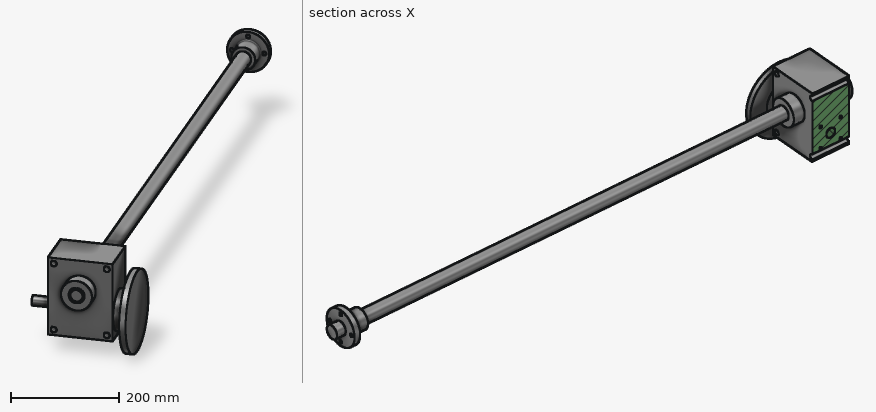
import cadquery as cq


HOUSING_WIDTH = 124.0
HOUSING_DEPTH = 89.0
HOUSING_TOP = 60.0
HOUSING_HEIGHT = 155.0
BOSS_DIAMETER = 60.0
BOSS_LENGTH = 26.0
CORNER_HOLE_DIAMETER = 11.0
CORNER_HOLE_INSET = 11.0
FACE_HOLE_DIAMETER = 5.0
FACE_HOLE_SPACING = 48.0
FACE_HOLE_DEPTH = 15.0

WORM_DROP = 50.0
WORM_DIAMETER = 20.0
WORM_PROTRUSION = 41.0
CENTER_HOLE_DIAMETER = 5.0
CENTER_HOLE_DEPTH = 12.0

HUB_DIAMETER = 80.0
HUB_LENGTH = 22.0
FLANGE_DIAMETER = 160.0
FLANGE_THICKNESS = 12.0

SCREW_DIAMETER = 30.0
SCREW_TIP_DIAMETER = 24.0
OVERALL_LENGTH = 1238.0

NUT_DIAMETER = 46.0
NUT_LENGTH = 47.0
NUT_FLANGE_DIAMETER = 80.0
NUT_FLANGE_THICKNESS = 14.0
NUT_END_GAP = 21.0
NUT_HOLE_COUNT = 4
NUT_HOLE_DIAMETER = 7.0
NUT_HOLE_CIRCLE = 62.0
NUT_FILLET = 2.0

HOUSING_LEFT = -HOUSING_WIDTH / 2
HOUSING_RIGHT = HOUSING_WIDTH / 2
HOUSING_CENTER_Z = HOUSING_TOP - HOUSING_HEIGHT / 2
BOSS_END = HOUSING_DEPTH / 2 + BOSS_LENGTH
SCREW_END = OVERALL_LENGTH - FLANGE_DIAMETER / 2
NUT_BACK = SCREW_END - NUT_END_GAP
NUT_FRONT = NUT_BACK - NUT_LENGTH
NUT_FLANGE_FACE = NUT_BACK - NUT_FLANGE_THICKNESS


def rod_y(diameter, y_start, y_end):
    """Cylinder on the screw axis."""
    plane = cq.Workplane("XZ", origin=(0, y_start, 0))
    return plane.circle(diameter / 2).extrude(y_start - y_end)


def rod_x(diameter, x_start, x_end):
    """Cylinder on the worm axis."""
    plane = cq.Workplane("YZ", origin=(x_start, 0, -WORM_DROP))
    return plane.circle(diameter / 2).extrude(x_end - x_start)


def make_housing():
    """Gear case with a boss on the front and rear face and bores for both shafts."""
    block = cq.Workplane("XY").box(HOUSING_WIDTH, HOUSING_DEPTH, HOUSING_HEIGHT)
    block = block.translate((0, 0, HOUSING_CENTER_Z))
    body = block.union(rod_y(BOSS_DIAMETER, -BOSS_END, BOSS_END))

    hole_spacing_x = HOUSING_WIDTH - 2 * CORNER_HOLE_INSET
    hole_spacing_z = HOUSING_HEIGHT - 2 * CORNER_HOLE_INSET
    corner_holes = (
        cq.Workplane("XZ", origin=(0, HOUSING_DEPTH / 2, HOUSING_CENTER_Z))
        .rect(hole_spacing_x, hole_spacing_z, forConstruction=True)
        .vertices()
        .circle(CORNER_HOLE_DIAMETER / 2)
        .extrude(HOUSING_DEPTH)
    )

    face_holes = (
        cq.Workplane("YZ", origin=(HOUSING_LEFT, 0, -WORM_DROP))
        .rect(FACE_HOLE_SPACING, FACE_HOLE_SPACING, forConstruction=True)
        .vertices()
        .circle(FACE_HOLE_DIAMETER / 2)
        .extrude(FACE_HOLE_DEPTH)
    )
    body = body.cut(corner_holes).cut(face_holes)

    screw_bore = rod_y(SCREW_DIAMETER, -BOSS_END, BOSS_END)
    worm_bore = rod_x(WORM_DIAMETER, HOUSING_LEFT, HOUSING_RIGHT)
    return body.cut(screw_bore).cut(worm_bore)


def make_worm_shaft():
    """Drive shaft that crosses the housing and sticks out on the -X side."""
    shaft_start = HOUSING_LEFT - WORM_PROTRUSION
    shaft = rod_x(WORM_DIAMETER, shaft_start, HOUSING_RIGHT)
    center_hole = rod_x(CENTER_HOLE_DIAMETER, shaft_start, shaft_start + CENTER_HOLE_DEPTH)
    return shaft.cut(center_hole)


def make_motor_flange():
    """Round hub and disc on the +X side of the housing."""
    hub_end = HOUSING_RIGHT + HUB_LENGTH
    hub = rod_x(HUB_DIAMETER, HOUSING_RIGHT, hub_end)
    disc = rod_x(FLANGE_DIAMETER, hub_end, hub_end + FLANGE_THICKNESS)
    return hub.union(disc)


def make_screw():
    """Plain rod, flush with the front boss and chamfered at that end."""
    tip_chamfer = (SCREW_DIAMETER - SCREW_TIP_DIAMETER) / 2
    return rod_y(SCREW_DIAMETER, -BOSS_END, SCREW_END).faces("<Y").chamfer(tip_chamfer)


def make_nut():
    """Flanged nut near the rear end of the screw."""
    sleeve = rod_y(NUT_DIAMETER, NUT_FRONT, NUT_BACK)
    flange = rod_y(NUT_FLANGE_DIAMETER, NUT_FLANGE_FACE, NUT_BACK)
    body = sleeve.union(flange)

    root_circle = body.faces("<Y[1]").edges(cq.selectors.RadiusNthSelector(0))
    body = root_circle.fillet(NUT_FILLET)

    bolt_holes = (
        cq.Workplane("XZ", origin=(0, NUT_BACK, 0))
        .polarArray(NUT_HOLE_CIRCLE / 2, 0, 360, NUT_HOLE_COUNT)
        .circle(NUT_HOLE_DIAMETER / 2)
        .extrude(NUT_FLANGE_THICKNESS)
    )
    bore = rod_y(SCREW_DIAMETER, NUT_FRONT, NUT_BACK)
    return body.cut(bolt_holes).cut(bore)


housing = make_housing()
worm_shaft = make_worm_shaft()
motor_flange = make_motor_flange()
screw = make_screw()
nut = make_nut()

result = cq.Compound.makeCompound(
    [housing.val(), worm_shaft.val(), motor_flange.val(), screw.val(), nut.val()]
)